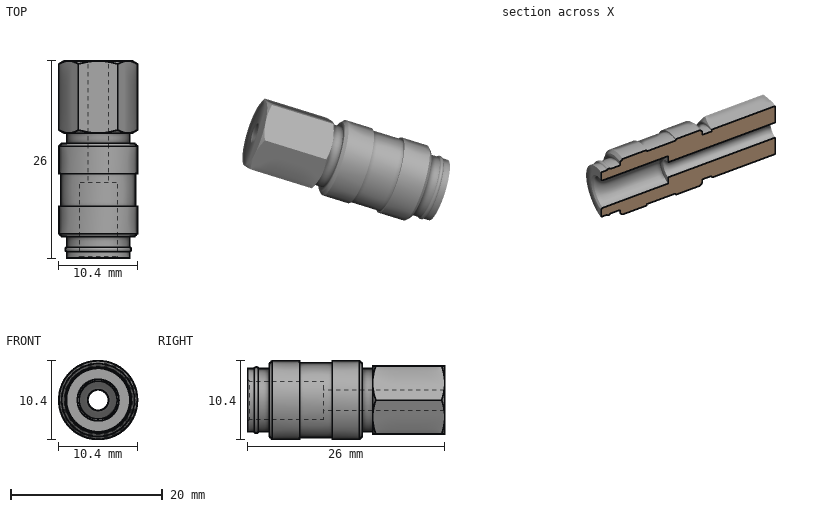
import cadquery as cq
import math

total_length = 26.0

hex_sides = 6
hex_across_flats = 9.0
hex_length = 9.5
hex_chamfer_angle = 30.0
hex_chamfer_face_radius = hex_across_flats / 2
hex_corner_radius = hex_across_flats / 2 / math.cos(math.pi / hex_sides)
hex_start = total_length - hex_length
envelope_clearance = 0.5

body_radius = 4.18

ring_position = 1.15
ring_wire_radius = 0.3
ring_outer_radius = 4.37

sleeve_start = 2.85
sleeve_end = 15.15
sleeve_radius = 5.2
sleeve_chamfer = 0.4
waist_start = 6.85
waist_end = 11.15
waist_radius = 4.95

bore_radius = 2.5
bore_depth = 10.0
bore_chamfer = 0.25
passage_radius = 1.35


def revolve_about_y(profile):
    """Turn a closed XY outline fully around the Y axis."""
    return profile.close().revolve(360, (0, 0, 0), (0, 1, 0))


def make_body():
    """Plain cylinder from the mouth to the hexagon."""
    return cq.Workplane("XZ").circle(body_radius).extrude(-hex_start)


def make_ring():
    """Ring of round section whose outer part stands proud of the body."""
    section_radius = ring_outer_radius - ring_wire_radius
    section = cq.Workplane("XY").moveTo(section_radius, ring_position).circle(ring_wire_radius)
    return section.revolve(360, (0, 0, 0), (0, 1, 0))


def make_sleeve():
    """Two collars, chamfered at their outer ends, joined by a narrower waist."""
    chamfered_radius = sleeve_radius - sleeve_chamfer
    profile = (
        cq.Workplane("XY")
        .moveTo(0, sleeve_start)
        .lineTo(chamfered_radius, sleeve_start)
        .lineTo(sleeve_radius, sleeve_start + sleeve_chamfer)
        .lineTo(sleeve_radius, waist_start)
        .lineTo(waist_radius, waist_start)
        .lineTo(waist_radius, waist_end)
        .lineTo(sleeve_radius, waist_end)
        .lineTo(sleeve_radius, sleeve_end - sleeve_chamfer)
        .lineTo(chamfered_radius, sleeve_end)
        .lineTo(0, sleeve_end)
    )
    return revolve_about_y(profile)


def make_hexagon():
    """Hexagonal prism with its corners turned down by a cone at each end."""
    prism = (
        cq.Workplane("XZ", origin=(0, hex_start, 0))
        .polygon(hex_sides, 2 * hex_corner_radius)
        .extrude(-hex_length)
    )
    envelope_radius = hex_corner_radius + envelope_clearance
    cone_length = (envelope_radius - hex_chamfer_face_radius) * math.tan(math.radians(hex_chamfer_angle))
    envelope_profile = (
        cq.Workplane("XY")
        .moveTo(0, hex_start)
        .lineTo(hex_chamfer_face_radius, hex_start)
        .lineTo(envelope_radius, hex_start + cone_length)
        .lineTo(envelope_radius, total_length - cone_length)
        .lineTo(hex_chamfer_face_radius, total_length)
        .lineTo(0, total_length)
    )
    return prism.intersect(revolve_about_y(envelope_profile))


def make_cavity():
    """Chamfered plug bore that narrows to a passage through the whole length."""
    profile = (
        cq.Workplane("XY")
        .lineTo(bore_radius + bore_chamfer, 0)
        .lineTo(bore_radius, bore_chamfer)
        .lineTo(bore_radius, bore_depth)
        .lineTo(passage_radius, bore_depth)
        .lineTo(passage_radius, total_length)
        .lineTo(0, total_length)
    )
    return revolve_about_y(profile)


outside = make_body().union(make_ring()).union(make_sleeve()).union(make_hexagon())
result = outside.cut(make_cavity())